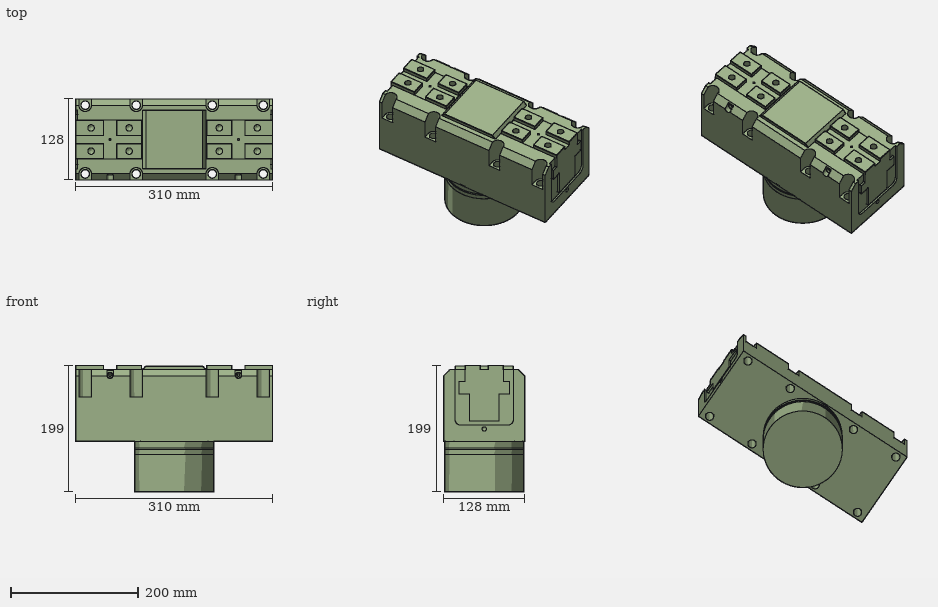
import cadquery as cq
import math

LENGTH = 310.0
WIDTH = 128.0
TOTAL_HEIGHT = 199.0
HALF_LENGTH = LENGTH / 2
HALF_WIDTH = WIDTH / 2

HOUSING_HEIGHT = 113.0
TERMINAL_HEIGHT = 6.5
TERMINAL_TOP = HOUSING_HEIGHT + TERMINAL_HEIGHT
TOP_CHAMFER = 10.2
EDGE_BREAK = 0.5

COVER_LENGTH = 100.5
COVER_WIDTH = 92.5
COVER_HEIGHT = 5.5

RECESS_DEPTH = 3.0
RECESS_WIDTH = COVER_WIDTH
RECESS_FLOOR_Z = TERMINAL_TOP - 94.2
RECESS_CORNER_RADIUS = 9.5
END_HOLE_DIAMETER = 6.8
END_HOLE_DEPTH = 12.5
END_HOLE_Z = TERMINAL_TOP - 100.0

MOUNT_X = (59.8, 140.0)
MOUNT_EDGE_DISTANCE = 10.0
MOUNT_HOLE_DIAMETER = 13.0
MOUNT_SLOT_WIDTH = 19.8
MOUNT_SLOT_FLOOR_Z = TERMINAL_TOP - 49.5

PORT_X = 101.0
PORT_Z = TERMINAL_TOP - 15.5
PORT_SLOT_WIDTH = 10.2
PORT_SLOT_DEPTH = 8.5
PORT_MOUTH_DIAMETER = 8.7
PORT_HOLE_DIAMETER = 4.0
PORT_HOLE_DEPTH = 9.3

BLOCK_LENGTH = 104.0
BLOCK_TOP_WIDTH = 60.8
BLOCK_WING_WIDTH = 79.5
BLOCK_STEM_WIDTH = 46.0
WING_TOP_Z = TERMINAL_TOP - 25.0
WING_BOTTOM_Z = TERMINAL_TOP - 45.0
STEM_BOTTOM_Z = TERMINAL_TOP - 87.7
PAD_GROOVE_WIDTH = 12.0
PAD_GAP_START = 44.0
PAD_GAP_LENGTH = 20.0
TERMINAL_HOLE_X = (71.0, 130.8)
TERMINAL_HOLE_Y = 18.3
TERMINAL_HOLE_DIAMETER = 10.2
TERMINAL_HOLE_DEPTH = 14.0
VENT_DIAMETER = 3.0
VENT_DEPTH = 6.2

MOTOR_DIAMETER = 124.5
MOTOR_BAND_DIAMETER = 125.0
MOTOR_BOTTOM_Z = TERMINAL_TOP - TOTAL_HEIGHT
BOSS_HEIGHT = 10.2
BAND_TOP_Z = -13.0
BAND_BOTTOM_Z = -20.5

DRILL_POINT_ANGLE = 118.0
SIDES = (-1, 1)


def drilled_hole(start, direction, diameter, depth):
    """Blind hole with a conical drill point; depth is the cylindrical part."""
    radius = diameter / 2
    point_length = radius / math.tan(math.radians(DRILL_POINT_ANGLE / 2))
    start, direction = cq.Vector(*start), cq.Vector(*direction)
    bore = cq.Solid.makeCylinder(radius, depth, start, direction)
    point = cq.Solid.makeCone(radius, 0, point_length, start + direction * depth, direction)
    return bore.fuse(point)


def end_profile(end_x):
    return cq.Workplane("YZ", origin=(end_x, 0, 0))


def block_outline(end, top_z):
    """Cross-shaped envelope of a terminal block, from the housing end inward."""
    half_outline = [
        (BLOCK_TOP_WIDTH / 2, top_z),
        (BLOCK_TOP_WIDTH / 2, WING_TOP_Z),
        (BLOCK_WING_WIDTH / 2, WING_TOP_Z),
        (BLOCK_WING_WIDTH / 2, WING_BOTTOM_Z),
        (BLOCK_STEM_WIDTH / 2, WING_BOTTOM_Z),
        (BLOCK_STEM_WIDTH / 2, STEM_BOTTOM_Z),
    ]
    mirrored = [(-y, z) for y, z in reversed(half_outline)]
    outline = end_profile(end * HALF_LENGTH).polyline(half_outline + mirrored).close()
    return outline.extrude(-end * BLOCK_LENGTH)


def terminal_pad(near_x, far_x, side):
    """Raised pad between two distances from the housing center, with its exposed edges broken."""
    inner_y = PAD_GROOVE_WIDTH / 2
    outer_y = BLOCK_TOP_WIDTH / 2
    return (
        cq.Workplane()
        .box(far_x - near_x, outer_y - inner_y, TERMINAL_HEIGHT)
        .faces("not <Z")
        .edges("not <Z")
        .chamfer(EDGE_BREAK)
        .translate((
            (near_x + far_x) / 2,
            side * (inner_y + outer_y) / 2,
            HOUSING_HEIGHT + TERMINAL_HEIGHT / 2,
        ))
    )


def make_terminal_block(end):
    block = block_outline(end, HOUSING_HEIGHT)
    gap_outer_x = HALF_LENGTH - PAD_GAP_START
    gap_inner_x = gap_outer_x - PAD_GAP_LENGTH
    for near_x, far_x in ((gap_outer_x, HALF_LENGTH), (HALF_LENGTH - BLOCK_LENGTH, gap_inner_x)):
        for side in SIDES:
            pad = terminal_pad(*sorted((end * near_x, end * far_x)), side)
            block = block.union(pad)
    down = (0, 0, -1)
    for x in TERMINAL_HOLE_X:
        for side in SIDES:
            start = (end * x, side * TERMINAL_HOLE_Y, TERMINAL_TOP)
            block = block.cut(drilled_hole(start, down, TERMINAL_HOLE_DIAMETER, TERMINAL_HOLE_DEPTH))
    vent_start = (end * PORT_X, 0, HOUSING_HEIGHT)
    return block.cut(drilled_hole(vent_start, down, VENT_DIAMETER, VENT_DEPTH))


def housing_body():
    return (
        cq.Workplane()
        .box(LENGTH, WIDTH, HOUSING_HEIGHT, (True, True, False))
        .edges("|X and >Z")
        .chamfer(TOP_CHAMFER)
    )


def cover():
    """Raised plate whose two short sides slope at 45 degrees."""
    half_foot = COVER_LENGTH / 2
    half_top = half_foot - COVER_HEIGHT
    top_z = HOUSING_HEIGHT + COVER_HEIGHT
    return (
        cq.Workplane("XZ", origin=(0, COVER_WIDTH / 2, 0))
        .polyline([
            (-half_foot, HOUSING_HEIGHT),
            (half_foot, HOUSING_HEIGHT),
            (half_top, top_z),
            (-half_top, top_z),
        ])
        .close()
        .extrude(COVER_WIDTH)
        .faces("<Y or >Y")
        .edges("not <Z")
        .chamfer(EDGE_BREAK)
    )


def motor_boss():
    return cq.Workplane().circle(MOTOR_DIAMETER / 2).extrude(-BOSS_HEIGHT)


def end_recess(end):
    """Shallow U-shaped recess, open at the top, in an end face."""
    height = HOUSING_HEIGHT - RECESS_FLOOR_Z
    return (
        cq.Workplane()
        .box(RECESS_DEPTH, RECESS_WIDTH, height, (True, True, False))
        .edges("|X and <Z")
        .fillet(RECESS_CORNER_RADIUS)
        .translate((end * (HALF_LENGTH - RECESS_DEPTH / 2), 0, RECESS_FLOOR_Z))
    )


def end_hole(end):
    return drilled_hole((end * HALF_LENGTH, 0, END_HOLE_Z), (-end, 0, 0), END_HOLE_DIAMETER, END_HOLE_DEPTH)


def mounting_cut(x, side):
    """Through hole below a round-ended slot that opens to the side and the top."""
    hole_y = side * (HALF_WIDTH - MOUNT_EDGE_DISTANCE)
    base = cq.Workplane(origin=(x, hole_y, MOUNT_SLOT_FLOOR_Z))
    slot_height = HOUSING_HEIGHT - MOUNT_SLOT_FLOOR_Z
    round_end = base.circle(MOUNT_SLOT_WIDTH / 2).extrude(slot_height)
    opening = (
        base.center(0, side * MOUNT_EDGE_DISTANCE / 2)
        .rect(MOUNT_SLOT_WIDTH, MOUNT_EDGE_DISTANCE)
        .extrude(slot_height)
    )
    hole = base.circle(MOUNT_HOLE_DIAMETER / 2).extrude(-MOUNT_SLOT_FLOOR_Z)
    return round_end.union(opening).union(hole)


def port_cut(x):
    """Spot-faced port in the front chamfer: U slot, conical mouth and small hole."""
    radius = PORT_SLOT_WIDTH / 2
    face = cq.Workplane("XZ", origin=(x, -HALF_WIDTH, PORT_Z))
    slot = (
        face.moveTo(-radius, TOP_CHAMFER)
        .lineTo(-radius, 0)
        .threePointArc((0, -radius), (radius, 0))
        .lineTo(radius, TOP_CHAMFER)
        .close()
        .extrude(-PORT_SLOT_DEPTH)
    )
    inward = cq.Vector(0, 1, 0)
    mouth_start = cq.Vector(x, PORT_SLOT_DEPTH - HALF_WIDTH, PORT_Z)
    mouth_depth = (PORT_MOUTH_DIAMETER - PORT_HOLE_DIAMETER) / 2
    mouth = cq.Solid.makeCone(
        PORT_MOUTH_DIAMETER / 2, PORT_HOLE_DIAMETER / 2, mouth_depth, mouth_start, inward
    )
    hole_start = mouth_start + inward * mouth_depth
    hole = drilled_hole(hole_start.toTuple(), inward.toTuple(), PORT_HOLE_DIAMETER, PORT_HOLE_DEPTH)
    return slot.union(cq.Workplane(mouth)).union(cq.Workplane(hole))


def make_housing():
    housing = housing_body().union(cover()).union(motor_boss())
    for end in SIDES:
        housing = housing.cut(end_recess(end)).cut(block_outline(end, TERMINAL_TOP)).cut(end_hole(end))
        housing = housing.cut(port_cut(end * PORT_X))
        for x in MOUNT_X:
            for side in SIDES:
                housing = housing.cut(mounting_cut(end * x, side))
    return housing


def make_motor():
    def section(top_z, bottom_z, diameter):
        return cq.Workplane(origin=(0, 0, top_z)).circle(diameter / 2).extrude(bottom_z - top_z)

    flange = section(-BOSS_HEIGHT, BAND_TOP_Z, MOTOR_DIAMETER)
    band = section(BAND_TOP_Z, BAND_BOTTOM_Z, MOTOR_BAND_DIAMETER)
    barrel = section(BAND_BOTTOM_Z, MOTOR_BOTTOM_Z, MOTOR_DIAMETER)
    return flange.union(band).union(barrel)


housing = make_housing()
motor = make_motor()
terminal_blocks = [make_terminal_block(end) for end in SIDES]

result = cq.Compound.makeCompound(
    [housing.val(), motor.val(), *[block.val() for block in terminal_blocks]]
)